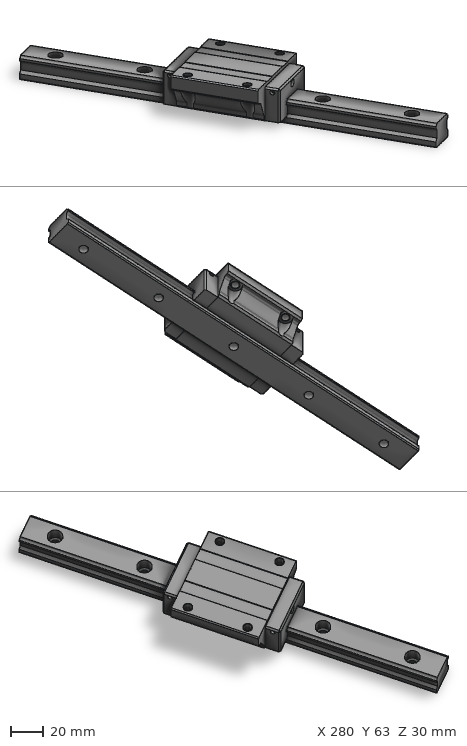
import cadquery as cq

RAIL_LENGTH = 280.0
TOTAL_HEIGHT = 30.0
CARRIAGE_BOTTOM = 4.8

RAIL_HEIGHT = 16.2
RAIL_HALF_WIDTH = 20.0 / 2
RAIL_HALF_NECK = 8.0
RACEWAY_CORNER = 1.7
RACEWAY_SAGITTA = 0.42
RAIL_BASE_CHAMFER = 0.8
HEAD_SIDE_BOTTOM = 13.0
NECK_TOP = 11.2
NECK_BOTTOM = 6.2
BASE_SIDE_TOP = 4.2

RAIL_HOLE_COUNT = 5
RAIL_HOLE_PITCH = 60.0
RAIL_HOLE_DIAMETER = 6.0
RAIL_BORE_DIAMETER = 9.5
RAIL_BORE_DEPTH = 8.5

BLOCK_LENGTH = 58.8
FLANGE_HALF_WIDTH = 63.0 / 2
FLANGE_BOTTOM = 19.5
FLANGE_TOP_CHAMFER = 0.8
FLANGE_BOTTOM_CHAMFER = 1.5
FLANK_TOP_HALF_WIDTH = 27.7
FLANK_BOTTOM_HALF_WIDTH = 22.5
FLANK_BOTTOM = 9.2
SKIRT_CHAMFER = 1.5
FLANK_TOP_FILLET = 2.2
FLANK_BOTTOM_FILLET = 1.5

GROOVE_INNER = 8.5
GROOVE_OUTER = 17.0
GROOVE_DEPTH = 0.3

FLANGE_HOLE_SPACING_X = 40.0
FLANGE_HOLE_SPACING_Y = 53.0
INSERT_DIAMETER = 6.0
INSERT_BORE_DIAMETER = 5.0
SPOTFACE_DIAMETER = 9.2

CAP_LENGTH = 10.0
CAP_WIDTH = 41.5
CAP_TOP = 27.5
CAP_CHAMFER = 1.0
END_PORT_Z = 23.8
END_PORT_DIAMETER = 5.0
END_PORT_DEPTH = 4.2
SIDE_PORT_Z = 24.5
SIDE_PORT_DIAMETER = 3.0
SIDE_PORT_DEPTH = 2.8


def rail_prism():
    """Plain rail section without mounting holes, also used to cut the running channel."""
    half_outline = (
        cq.Workplane("YZ")
        .lineTo(RAIL_HALF_WIDTH - RAIL_BASE_CHAMFER, 0)
        .lineTo(RAIL_HALF_WIDTH, RAIL_BASE_CHAMFER)
        .lineTo(RAIL_HALF_WIDTH, BASE_SIDE_TOP)
        .lineTo(RAIL_HALF_NECK, NECK_BOTTOM)
        .lineTo(RAIL_HALF_NECK, NECK_TOP)
        .sagittaArc((RAIL_HALF_WIDTH, HEAD_SIDE_BOTTOM), RACEWAY_SAGITTA)
        .lineTo(RAIL_HALF_WIDTH, RAIL_HEIGHT - RACEWAY_CORNER)
        .sagittaArc((RAIL_HALF_WIDTH - RACEWAY_CORNER, RAIL_HEIGHT), RACEWAY_SAGITTA)
        .lineTo(0, RAIL_HEIGHT)
    )
    return half_outline.mirrorY().extrude(RAIL_LENGTH / 2, both=True)


def make_rail():
    """Rail with a row of counterbored mounting holes."""
    return (
        rail_prism()
        .faces(">Z")
        .workplane(origin=(0, 0, RAIL_HEIGHT))
        .rarray(RAIL_HOLE_PITCH, 2.8, RAIL_HOLE_COUNT, 1)
        .cboreHole(RAIL_HOLE_DIAMETER, RAIL_BORE_DIAMETER, RAIL_BORE_DEPTH)
    )


def flange_cylinders(diameter, bottom, top):
    """Four upright cylinders on the flange hole pattern."""
    return (
        cq.Workplane("XY", origin=(0, 0, bottom))
        .rarray(FLANGE_HOLE_SPACING_X, FLANGE_HOLE_SPACING_Y, 2, 2)
        .circle(diameter / 2)
        .extrude(top - bottom)
    )


def block_prism():
    """Flanged block with sloping flanks below the flange."""
    half_outline = [
        (FLANK_BOTTOM_HALF_WIDTH - SKIRT_CHAMFER, CARRIAGE_BOTTOM),
        (FLANK_BOTTOM_HALF_WIDTH, CARRIAGE_BOTTOM + SKIRT_CHAMFER),
        (FLANK_BOTTOM_HALF_WIDTH, FLANK_BOTTOM),
        (FLANK_TOP_HALF_WIDTH, FLANGE_BOTTOM),
        (FLANGE_HALF_WIDTH - FLANGE_BOTTOM_CHAMFER, FLANGE_BOTTOM),
        (FLANGE_HALF_WIDTH, FLANGE_BOTTOM + FLANGE_BOTTOM_CHAMFER),
        (FLANGE_HALF_WIDTH, TOTAL_HEIGHT - FLANGE_TOP_CHAMFER),
        (FLANGE_HALF_WIDTH - FLANGE_TOP_CHAMFER, TOTAL_HEIGHT),
    ]
    mirrored = [(-y, z) for y, z in reversed(half_outline)]
    outline = cq.Workplane("YZ").polyline(half_outline + mirrored).close()
    prism = outline.extrude(BLOCK_LENGTH / 2, both=True)

    bends = [
        (FLANK_TOP_HALF_WIDTH, FLANGE_BOTTOM, FLANK_TOP_FILLET),
        (FLANK_BOTTOM_HALF_WIDTH, FLANK_BOTTOM, FLANK_BOTTOM_FILLET),
    ]
    for half_width, z, radius in bends:
        for side in (-1, 1):
            bend_edge = cq.selectors.NearestToPointSelector((0, side * half_width, z))
            prism = prism.edges(bend_edge).fillet(radius)
    return prism


def top_groove(side):
    """Cutter for the groove on the -Y (side = -1) or +Y (side = 1) half, with 45 degree walls."""
    floor_z = TOTAL_HEIGHT - GROOVE_DEPTH
    section = [
        (side * GROOVE_INNER, TOTAL_HEIGHT),
        (side * (GROOVE_INNER + GROOVE_DEPTH), floor_z),
        (side * (GROOVE_OUTER - GROOVE_DEPTH), floor_z),
        (side * GROOVE_OUTER, TOTAL_HEIGHT),
    ]
    return cq.Workplane("YZ").polyline(section).close().extrude(BLOCK_LENGTH / 2, both=True)


def make_block():
    """Carriage block that runs on the rail."""
    block = block_prism().cut(rail_prism())

    for side in (-1, 1):
        block = block.cut(top_groove(side))

    block = block.cut(flange_cylinders(INSERT_DIAMETER, 0, TOTAL_HEIGHT))
    return block.cut(flange_cylinders(SPOTFACE_DIAMETER, 0, FLANGE_BOTTOM))


def make_inserts():
    """Sleeves lining the flange holes, one solid per hole."""
    sleeves = flange_cylinders(INSERT_DIAMETER, FLANGE_BOTTOM, TOTAL_HEIGHT)
    return sleeves.cut(flange_cylinders(INSERT_BORE_DIAMETER, FLANGE_BOTTOM, TOTAL_HEIGHT))


def make_end_cap(side):
    """End cap on the -X (side = -1) or +X (side = 1) end of the block."""
    center_x = side * (BLOCK_LENGTH + CAP_LENGTH) / 2
    outer_x = side * (BLOCK_LENGTH / 2 + CAP_LENGTH)
    outer_face = ">X" if side > 0 else "<X"

    cap = cq.Workplane("XY", origin=(center_x, 0, CARRIAGE_BOTTOM)).box(
        CAP_LENGTH, CAP_WIDTH, CAP_TOP - CARRIAGE_BOTTOM, centered=(True, True, False)
    )
    cap = cap.edges(f"({outer_face} and (not <Z)) or (|X and >Z)").chamfer(CAP_CHAMFER)
    cap = cap.cut(rail_prism())

    end_port = (
        cq.Workplane("YZ", origin=(outer_x, 0, END_PORT_Z))
        .circle(END_PORT_DIAMETER / 2)
        .extrude(-side * END_PORT_DEPTH)
    )
    cap = cap.cut(end_port)

    for port_side in (-1, 1):
        side_port = (
            cq.Workplane("XZ", origin=(center_x, port_side * CAP_WIDTH / 2, SIDE_PORT_Z))
            .circle(SIDE_PORT_DIAMETER / 2)
            .extrude(port_side * SIDE_PORT_DEPTH)
        )
        cap = cap.cut(side_port)
    return cap


rail = make_rail()
block = make_block()
inserts = make_inserts()
end_caps = [make_end_cap(side) for side in (-1, 1)]

result = cq.Compound.makeCompound([
    rail.val(),
    block.val(),
    *inserts.solids().vals(),
    *[cap.val() for cap in end_caps],
])